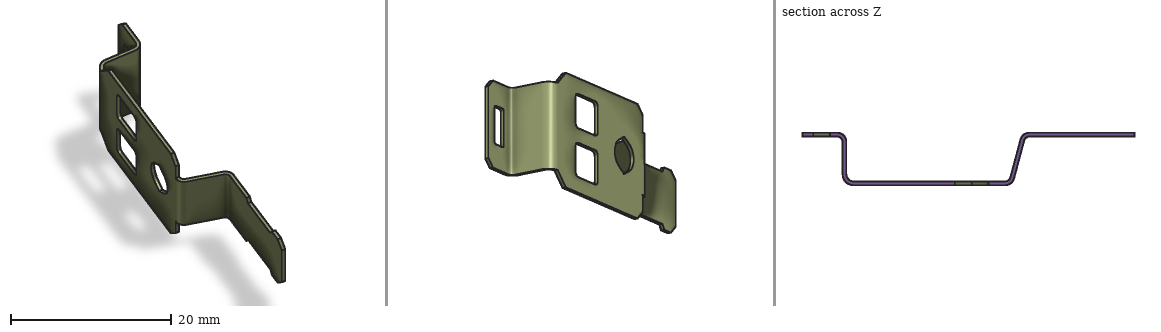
import cadquery as cq
import math

length = 41.5
depth = 6.6
thickness = 0.5

inner_radius = 0.7
outer_radius = inner_radius + thickness
plate_start_inner_radius = 0.9
plate_start_outer_radius = plate_start_inner_radius + thickness
left_leg_x = 5.0
plate_start_x = left_leg_x + plate_start_outer_radius
plate_end_x = 25.3
leg_lean = 15.0

tab_width = 11.4
plate_width = 15.0
tongue_width = 8.15

tab_chamfer = 1.0
plate_shoulder = (plate_width - tab_width) / 2
plate_chamfer = 1.2
tongue_chamfer = 1.05
notch_start_x = 32.5
notch_end_x = 38.95
notch_depth = 0.65
notch_ramp = 0.4

slot_center = (2.4, 0.05)
slot_size = (2.05, 5.05)
slot_corner = 0.3
window_center_x = 12.85
window_pitch = 6.4
window_size = (4.9, 4.5)
window_corner = 0.6
hole_center_x = 21.15
hole_radius = 2.1
hole_peak_angle = 60.0


def polar(center, radius, degrees):
    """Point on a circle in the plane of the sketch."""
    angle = math.radians(degrees)
    return (center[0] + radius * math.cos(angle), center[1] + radius * math.sin(angle))


def bend_list():
    """Bends in order along the strip: centre, front-face radius, back-face radius, start and end angle."""
    upper_y = depth - outer_radius
    lean = math.radians(leg_lean)
    facing_radii = inner_radius + outer_radius
    leg_run = (facing_radii + (upper_y - outer_radius) * math.sin(lean)) / math.cos(lean)
    tab_center = (left_leg_x - inner_radius, upper_y)
    plate_start_center = (plate_start_x, plate_start_outer_radius)
    plate_end_center = (plate_end_x, outer_radius)
    tongue_center = (plate_end_x + leg_run, upper_y)
    return [
        (tab_center, inner_radius, outer_radius, 90, 0),
        (plate_start_center, plate_start_outer_radius, plate_start_inner_radius, 180, 270),
        (plate_end_center, outer_radius, inner_radius, 270, 360 - leg_lean),
        (tongue_center, inner_radius, outer_radius, 180 - leg_lean, 90),
    ]


def formed_strip():
    """Full-width bent sheet."""
    bends = bend_list()
    profile = cq.Workplane("XY").moveTo(0, depth - thickness)
    for center, front_radius, _, start, end in bends:
        profile = profile.lineTo(*polar(center, front_radius, start))
        middle = polar(center, front_radius, (start + end) / 2)
        profile = profile.threePointArc(middle, polar(center, front_radius, end))
    profile = profile.lineTo(length, depth - thickness).lineTo(length, depth)
    for center, _, back_radius, start, end in reversed(bends):
        profile = profile.lineTo(*polar(center, back_radius, end))
        middle = polar(center, back_radius, (start + end) / 2)
        profile = profile.threePointArc(middle, polar(center, back_radius, start))
    profile = profile.lineTo(0, depth).close()
    return profile.extrude(plate_width / 2, both=True)


def through_depth(sketch):
    """Extrude an XZ sketch through the whole forming depth."""
    return sketch.extrude(-depth)


def blank_outline():
    """Outline of the strip seen square to the plate, symmetric about Z = 0."""
    tab = tab_width / 2
    plate = plate_width / 2
    tongue = tongue_width / 2
    notch = tongue - notch_depth
    upper_edge = [
        (0, tab - tab_chamfer),
        (tab_chamfer, tab),
        (plate_start_x, tab),
        (plate_start_x + plate_shoulder, plate),
        (plate_end_x - plate_chamfer, plate),
        (plate_end_x, plate - plate_chamfer),
        (plate_end_x, tongue),
        (notch_start_x, tongue),
        (notch_start_x + notch_ramp, notch),
        (notch_end_x - notch_ramp, notch),
        (notch_end_x, tongue),
        (length - tongue_chamfer, tongue),
        (length, tongue - tongue_chamfer),
    ]
    lower_edge = [(x, -z) for x, z in reversed(upper_edge)]
    return through_depth(cq.Workplane("XZ").polyline(upper_edge + lower_edge).close())


def rounded_opening(center, size, corner):
    """Cutter for a rectangular opening with rounded corners."""
    opening = through_depth(cq.Workplane("XZ").center(*center).rect(*size))
    return opening.edges("|Y").fillet(corner)


def peaked_hole():
    """Cutter for the round hole drawn out to a point at +Z and -Z."""
    center = (hole_center_x, 0)
    peak = hole_radius / math.sin(math.radians(hole_peak_angle))
    sketch = (
        cq.Workplane("XZ")
        .moveTo(hole_center_x, peak)
        .lineTo(*polar(center, hole_radius, 180 - hole_peak_angle))
        .threePointArc(polar(center, hole_radius, 180), polar(center, hole_radius, 180 + hole_peak_angle))
        .lineTo(hole_center_x, -peak)
        .lineTo(*polar(center, hole_radius, -hole_peak_angle))
        .threePointArc(polar(center, hole_radius, 0), polar(center, hole_radius, hole_peak_angle))
        .close()
    )
    return through_depth(sketch)


result = formed_strip().intersect(blank_outline())
result = result.cut(rounded_opening(slot_center, slot_size, slot_corner))
for side in (-1, 1):
    window_center = (window_center_x, side * window_pitch / 2)
    result = result.cut(rounded_opening(window_center, window_size, window_corner))
result = result.cut(peaked_hole())